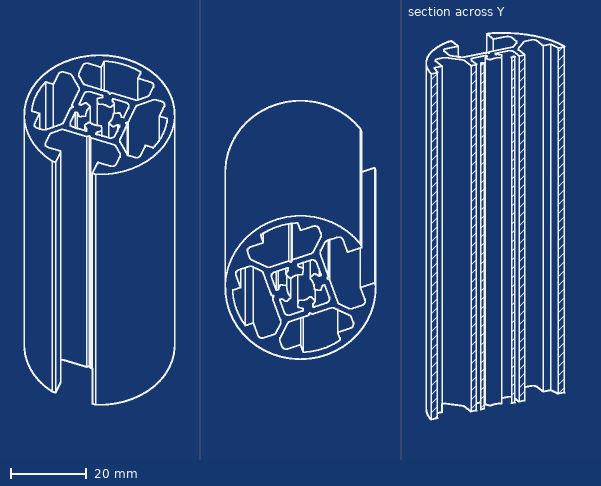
import cadquery as cq
import math

length = 100
outer_diameter = 39.9
outer_radius = outer_diameter / 2

slot_floor = 8
slot_half_width = 10
slot_shelf = 15
slot_bevel = 2.5
side_slot_bevel = 3.8
bevel_corner_radius = 1
shelf_corner_radius = 1.2
neck_half_width = 5.2
skin_inner_radius = 18
lip_flat_width = 1
lip_end = math.sqrt(outer_radius**2 - (neck_half_width + lip_flat_width) ** 2)

groove_half_width = 0.5
groove_depth = 0.5

core_wall = 1.7
core_half_width = slot_floor - core_wall
core_corner_radius = 1.2

stem_half_width = 1.4
stem_end = 5.7
cap_half_width = 2.5
cap_widest = 4.8
cap_tip_half_width = 1.7
cap_corner_radius = 0.3
screw_hole_radius = 3.6
cap_tip = math.sqrt(screw_hole_radius**2 - cap_tip_half_width**2)

QUARTER_TURN = 90
FULL_TURN = 360
Z_AXIS = ((0, 0, 0), (0, 0, 1))


def turned(shape, angle):
    return shape.rotate(*Z_AXIS, angle)


def slot_chamber(bevel):
    """Wide chamber on the +Y side, bevelled towards its floor."""
    bevel_top = slot_floor + bevel
    floor_half_width = slot_half_width - bevel
    chamber = (
        cq.Workplane("XY")
        .polyline([
            (-floor_half_width, slot_floor),
            (floor_half_width, slot_floor),
            (slot_half_width, bevel_top),
            (slot_half_width, slot_shelf),
            (-slot_half_width, slot_shelf),
            (-slot_half_width, bevel_top),
        ])
        .close()
        .extrude(length)
    )
    chamber = chamber.faces(">Y").edges("|Z").fillet(shelf_corner_radius)
    bevel_zone = cq.selectors.BoxSelector(
        (-outer_radius, 0, 0), (outer_radius, bevel_top + bevel_corner_radius, length)
    )
    return chamber.edges("|Z").edges(bevel_zone).fillet(bevel_corner_radius)


def neck(end):
    """Straight passage between the lips, from the slot floor out to the given distance."""
    return (
        cq.Workplane("XY")
        .center(0, (slot_floor + end) / 2)
        .rect(2 * neck_half_width, end - slot_floor)
        .extrude(length)
    )


def groove():
    """V groove at the middle of the +Y slot floor."""
    return (
        cq.Workplane("XY")
        .polyline([
            (-groove_half_width, slot_floor),
            (0, slot_floor - groove_depth),
            (groove_half_width, slot_floor),
        ])
        .close()
        .extrude(length)
    )


def screw_rib():
    """Mushroom-shaped rib growing inward from the +Y wall of the core."""
    right_side = [
        (stem_half_width, slot_floor - groove_depth),
        (stem_half_width, stem_end),
        (cap_half_width, cap_widest),
        (cap_tip_half_width, cap_tip),
    ]
    left_side = [(-x, y) for x, y in reversed(right_side)]
    return (
        cq.Workplane("XY")
        .polyline(right_side)
        .threePointArc((0, screw_hole_radius), left_side[0])
        .polyline(left_side, includeCurrent=False)
        .close()
        .extrude(length)
        .edges("|Z")
        .edges("<Y or <X or >X")
        .fillet(cap_corner_radius)
    )


def core():
    """Square hollow core with rounded corners, with the four screw ribs left standing in it."""
    hollow = (
        cq.Workplane("XY")
        .rect(2 * core_half_width, 2 * core_half_width)
        .extrude(length)
        .edges("|Z")
        .fillet(core_corner_radius)
    )
    for turn in range(FULL_TURN // QUARTER_TURN):
        hollow = hollow.cut(turned(screw_rib(), turn * QUARTER_TURN))
    return hollow


def closed_slot(bevel):
    """Chamber and neck that stop at the thin outer skin."""
    skin_limit = cq.Workplane("XY").circle(skin_inner_radius).extrude(length)
    return slot_chamber(bevel).union(neck(outer_radius).intersect(skin_limit)).union(groove())


def open_slot(bevel):
    """Chamber and neck that break out through the outside."""
    return slot_chamber(bevel).union(neck(outer_radius)).union(groove())


def lip_trim():
    """Block beyond the flat lip ends on the +Y side."""
    return (
        cq.Workplane("XY")
        .center(0, (lip_end + outer_radius) / 2)
        .rect(2 * outer_radius, outer_radius - lip_end)
        .extrude(length)
    )


result = cq.Workplane("XY").circle(outer_radius).extrude(length).cut(core())
result = result.cut(closed_slot(slot_bevel))
for side_angle in (-QUARTER_TURN, QUARTER_TURN):
    result = result.cut(turned(closed_slot(side_slot_bevel), side_angle))
for removed in (open_slot(slot_bevel), lip_trim()):
    result = result.cut(turned(removed, 2 * QUARTER_TURN))